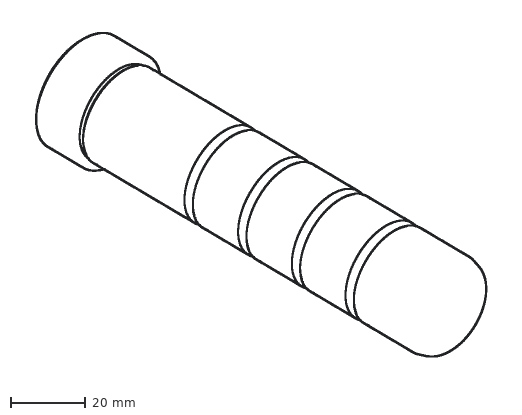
import cadquery as cq
import math

length = 140.0
head_radius = 35.0 / 2
head_length = 14.0
head_face_chamfer = 0.5
head_shoulder_round = 0.3
shaft_radius = 30.0 / 2

neck_radius = 14.5
neck_end = 15.3
neck_runout = 0.4

groove_count = 4
first_groove_center = 55.0
groove_pitch = 20.0
groove_width = 3.1
groove_depth = 0.8

lead_length = 5.0
lead_cone_length = lead_length / 2
lead_angle = math.radians(15)

hole_mouth_radius = 2.8
hole_radius = 1.5
hole_end = 7.0
countersink_half_angle = math.radians(30)
drill_tip_half_angle = math.radians(59)


def make_head():
    head = cq.Workplane("YZ").circle(head_radius).extrude(head_length)
    head = head.faces("<X").edges().chamfer(head_face_chamfer)
    return head.faces(">X").edges().fillet(head_shoulder_round)


def make_shaft():
    """Revolve the neck, grooved shaft and lead-in around the X axis."""
    profile = cq.Workplane("XY").moveTo(head_length / 2, 0)
    profile = profile.lineTo(head_length / 2, neck_radius)
    profile = profile.lineTo(neck_end, neck_radius)
    profile = profile.lineTo(neck_end + neck_runout, shaft_radius)

    for index in range(groove_count):
        center = first_groove_center + index * groove_pitch
        profile = profile.lineTo(center - groove_width / 2, shaft_radius)
        profile = profile.threePointArc(
            (center, shaft_radius - groove_depth),
            (center + groove_width / 2, shaft_radius),
        )

    lead_start = length - lead_length
    cone_end = lead_start + lead_cone_length
    cone_end_radius = shaft_radius - lead_cone_length * math.tan(lead_angle)
    end_round = (length - cone_end) / (1 - math.sin(lead_angle))
    round_center_x = length - end_round
    end_face_radius = cone_end_radius - end_round * math.cos(lead_angle)
    middle_angle = (math.pi / 2 - lead_angle) / 2
    round_middle = (
        round_center_x + end_round * math.cos(middle_angle),
        end_face_radius + end_round * math.sin(middle_angle),
    )
    profile = profile.lineTo(lead_start, shaft_radius)
    profile = profile.lineTo(cone_end, cone_end_radius)
    profile = profile.threePointArc(round_middle, (length, end_face_radius))
    profile = profile.lineTo(length, 0).close()
    return profile.revolve(360, (0, 0, 0), (1, 0, 0))


def make_center_hole():
    """Countersunk blind hole with a conical drill tip."""
    countersink_depth = (hole_mouth_radius - hole_radius) / math.tan(countersink_half_angle)
    tip_depth = hole_radius / math.tan(drill_tip_half_angle)
    outline = [
        (0, 0),
        (0, hole_mouth_radius),
        (countersink_depth, hole_radius),
        (hole_end, hole_radius),
        (hole_end + tip_depth, 0),
    ]
    return cq.Workplane("XY").polyline(outline).close().revolve(360, (0, 0, 0), (1, 0, 0))


result = make_head().union(make_shaft()).cut(make_center_hole())